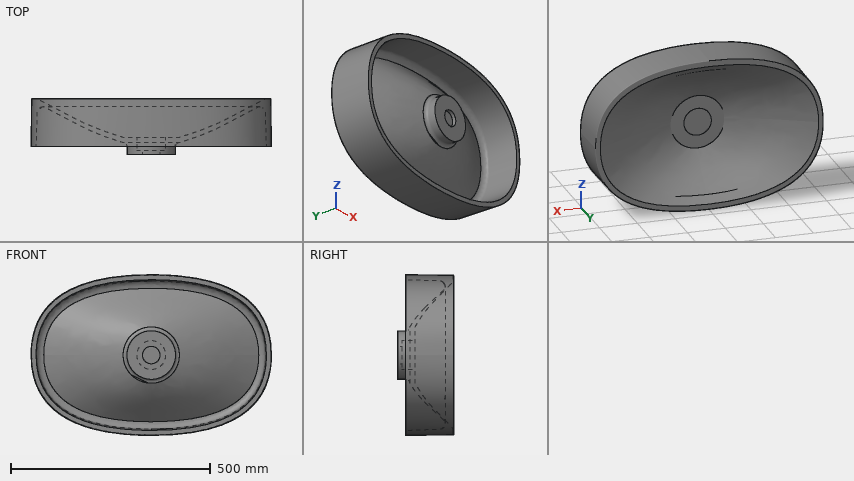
import cadquery as cq
import math

half_length = 302.0
half_width = 202.1
basin_height = 121.0
wall_draft = 1.5
top_round = 2.0

wall_thickness = 12.5
hollow_draft = 3.0
valley_start = 86.5
valley_depth = 14.0
valley_reach_x = 16.5
valley_reach_z = 19.0
valley_steps = 6

bowl_profile = [(0, 0), (0.35, 0.27), (0.7, 0.65), (0.9, 0.89), (1, 1)]
bowl_thickness = 13.0
bowl_lip = 18.0

boss_radius = 61.0
boss_depth = 20.0
flare_radius = 9.5
flare_start = 0.5
drain_hole_radius = 22.05
drain_floor = 10.0
stopper_radius = 36.0

oval_handle = 0.664
round_handle = 4 / 3 * (math.sqrt(2) - 1)

hollow_x = half_length - wall_thickness
hollow_z = half_width - wall_thickness
valley_x = hollow_x - hollow_draft
valley_z = hollow_z - hollow_draft
valley_top = valley_start + valley_depth
bowl_edge_x = valley_x - valley_reach_x
bowl_edge_z = valley_z - valley_reach_z
flare_outer = boss_radius + flare_radius
bowl_bottom = flare_start + flare_radius
bowl_floor = bowl_bottom + bowl_thickness
stopper_seat = drain_floor - boss_depth


def oval(half_x, half_z, y, handle=oval_handle):
    """Closed wire of four cubic curves in a plane square to Y."""
    corners = [(1, 0), (0, 1), (-1, 0), (0, -1)]
    edges = []
    for i, (ax, az) in enumerate(corners):
        bx, bz = corners[(i + 1) % 4]
        shares = [
            (ax, az),
            (ax + handle * bx, az + handle * bz),
            (bx + handle * ax, bz + handle * az),
            (bx, bz),
        ]
        edges.append(cq.Edge.makeBezier([cq.Vector(half_x * u, y, half_z * v) for u, v in shares]))
    return cq.Wire.assembleEdges(edges)


def loft(sections, ruled=False):
    return cq.Workplane(cq.Solid.makeLoft(sections, ruled))


def cylinder(radius, y_start, y_end):
    return cq.Workplane(
        cq.Solid.makeCylinder(radius, y_end - y_start, cq.Vector(0, y_start, 0), cq.Vector(0, 1, 0))
    )


def bowl_form(edge_x, edge_z, bottom, top):
    """Dish-shaped solid, round at the drain and oval at its top edge."""
    sections = []
    for outward, rise in bowl_profile:
        sections.append(
            oval(
                flare_outer + outward * (edge_x - flare_outer),
                flare_outer + outward * (edge_z - flare_outer),
                bottom + rise * (top - bottom),
                round_handle + outward * (oval_handle - round_handle),
            )
        )
    return loft(sections)


def make_outer_block():
    block = loft(
        [
            oval(half_length, half_width, 0),
            oval(half_length - wall_draft, half_width - wall_draft, basin_height),
        ],
        ruled=True,
    )
    return block.faces(">Y").edges().fillet(top_round)


def make_hollow():
    """Drafted recess with a rounded valley, leaving the bowl standing in its middle."""
    straight = loft(
        [oval(hollow_x, hollow_z, 0), oval(valley_x, valley_z, valley_start)], ruled=True
    )
    sections = []
    for step in range(valley_steps + 1):
        angle = math.pi / 2 * step / valley_steps
        inward = 1 - math.cos(angle)
        sections.append(
            oval(
                valley_x - valley_reach_x * inward,
                valley_z - valley_reach_z * inward,
                valley_start + valley_depth * math.sin(angle),
            )
        )
    bowl = bowl_form(bowl_edge_x, bowl_edge_z, bowl_bottom, valley_top)
    return straight.union(loft(sections)).cut(bowl)


def make_drain_boss():
    middle = flare_radius * (1 - math.sqrt(0.5))
    return (
        cq.Workplane("XY")
        .moveTo(0, -boss_depth)
        .lineTo(boss_radius, -boss_depth)
        .lineTo(boss_radius, flare_start)
        .threePointArc((boss_radius + middle, bowl_bottom - middle), (flare_outer, bowl_bottom))
        .lineTo(flare_outer, bowl_floor)
        .lineTo(0, bowl_floor)
        .close()
        .revolve(360, (0, 0, 0), (0, 1, 0))
    )


def make_basin():
    bowl_interior = bowl_form(
        bowl_edge_x + bowl_lip, bowl_edge_z + bowl_lip, bowl_floor, basin_height
    )
    shell = make_outer_block().cut(make_hollow()).cut(bowl_interior)
    return (
        shell.union(make_drain_boss())
        .cut(cylinder(drain_hole_radius, -boss_depth, stopper_seat))
        .cut(cylinder(stopper_radius, stopper_seat, bowl_floor))
    )


def make_stopper():
    """Disc seated in the drain recess, flush with the bowl floor."""
    return cylinder(stopper_radius, stopper_seat, bowl_floor)


basin = make_basin()
stopper = make_stopper()
result = cq.Compound.makeCompound([basin.solids().val(), stopper.val()])